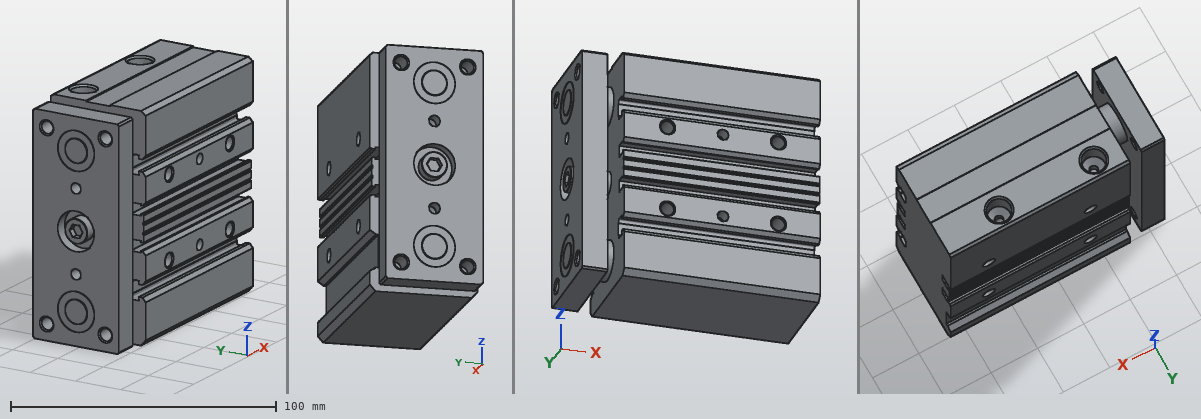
import cadquery as cq
import math


HOUSING_LENGTH = 77.5
HOUSING_WIDTH = 42.0
HOUSING_HEIGHT = 93.0
HALF_WIDTH = HOUSING_WIDTH / 2
HALF_HEIGHT = HOUSING_HEIGHT / 2
FRONT_TOP_BEVEL = (2.1, 1.6)
BACK_TOP_BEVEL = (1.1, 0.9)
BOTTOM_BEVEL = (2.15, 2.4)
TOP_CHANNEL_WIDTH = 10.7
TOP_CHANNEL_DEPTH = 0.5

SLOT_MOUTH_BEVEL = (1.4, 1.7)
T_SLOT_HEIGHT = 24.9
T_SLOT_MOUTH = 5.0
T_SLOT_LIP = 3.0
T_SLOT_INNER_WIDTH = 7.9
T_SLOT_DEPTH = 7.0
T_SLOT_FILLET = 0.4
T_SLOT_RELIEF_DEPTH = 7.3
SENSOR_SLOT_TOP = 9.0
SENSOR_SLOT_LIP = 2.15
SENSOR_SLOT_UNDERCUT = 0.7
SENSOR_SLOT_DEPTH = 6.5
FRONT_SENSOR_BEVEL = (1.4, 1.5)
BACK_SENSOR_BEVEL = (0.8, 0.4)
RIB_HALF_HEIGHT = 5.6
RIB_RECESS = 0.75
RIB_BEVEL = 0.3
RIB_GROOVE_HEIGHT = 2.0
RIB_GROOVE_MOUTH = 1.3
RIB_GROOVE_FLOOR = 0.5
RIB_GROOVE_DEPTH = 0.5
BACK_SLOT_HEIGHT = -30.8
BACK_SLOT_MOUTH = 12.8
BACK_SLOT_DEPTH = 3.3
BACK_SLOT_BEVEL = (2.3, 1.6)

SIDE_HOLE_HEIGHT = 17.0
BOLT_HOLE_XS = (17.1, 61.0)
BOLT_HOLE_DIAMETER = 5.2
BOLT_HOLE_MOUTH = 6.2
PIN_HOLE_X = (BOLT_HOLE_XS[0] + BOLT_HOLE_XS[1]) / 2
PIN_HOLE_DIAMETER = 4.3
PIN_HOLE_DEPTH = 6.0
DRILL_POINT_ANGLE = 118
PORT_XS = (11.6, 52.5)
PORT_Y = 13.6
PORT_DIAMETER = 9.5
PORT_MOUTH = 11.0
PORT_DEPTH = 9.35
PORT_CONE_DEPTH = 1.9
PILOT_DIAMETER = 3.55
PILOT_DEPTH = 3.7
GALLERY_LENGTH = 7.5
LUG_DIAMETER = 2.2
LUG_LENGTH = 0.75

PLATE_GAP = 6.0
PLATE_THICKNESS = 10.0
PLATE_WIDTH = 38.0
PLATE_HEIGHT = 91.1
PLATE_BEVEL = 0.75
PLATE_BACK_X = -PLATE_GAP
PLATE_FRONT_X = PLATE_BACK_X - PLATE_THICKNESS
CORNER_HOLE_SPACING_Y = 25.9
CORNER_HOLE_SPACING_Z = 77.8
CORNER_HOLE_DIAMETER = 5.05
CORNER_HOLE_MOUTH = 6.2
PISTON_RECESS_DEPTH = PLATE_THICKNESS / 2

GUIDE_HEIGHT = 31.9
GUIDE_DIAMETER = 16.1
ROD_DIAMETER = 9.9
ROD_END_BEVEL = 0.2
ROD_END_FACE = ROD_DIAMETER - 2 * ROD_END_BEVEL
ROD_INSERTION = 65.45
HEX_ACROSS_FLATS = 5.05
HEX_DEPTH = 2.8


def cylinder(start, direction, diameter, length):
    solid = cq.Solid.makeCylinder(diameter / 2, length, cq.Vector(*start), cq.Vector(*direction))
    return cq.Workplane(solid)


def cone(start, direction, start_diameter, end_diameter, length):
    solid = cq.Solid.makeCone(
        start_diameter / 2, end_diameter / 2, length, cq.Vector(*start), cq.Vector(*direction)
    )
    return cq.Workplane(solid)


def flared_hole(start, direction, diameter, mouth, depth):
    """Round cutter with a 45 degree flare at its mouth."""
    flare = cone(start, direction, mouth, diameter, (mouth - diameter) / 2)
    return cylinder(start, direction, diameter, depth).union(flare)


def pin_hole(start, direction):
    """Blind cutter that ends in a drill point."""
    point_depth = PIN_HOLE_DIAMETER / 2 / math.tan(math.radians(DRILL_POINT_ANGLE / 2))
    point_start = cq.Vector(*start) + cq.Vector(*direction) * PIN_HOLE_DEPTH
    point = cone(point_start.toTuple(), direction, PIN_HOLE_DIAMETER, 0, point_depth)
    return cylinder(start, direction, PIN_HOLE_DIAMETER, PIN_HOLE_DEPTH).union(point)


def along_housing(points):
    """Prism of the housing length from (y, z) points."""
    return cq.Workplane("YZ").polyline(points).close().extrude(HOUSING_LENGTH)


def side_cut(side, outline):
    """Long slot in the side at y = side * HALF_WIDTH, from (depth, z) points."""
    return along_housing([(side * (HALF_WIDTH - depth), z) for depth, z in outline])


def side_pocket(side, start_depth, end_depth, height, width):
    """Rectangular stretch of a long slot, centred on a height."""
    low = height - width / 2
    high = height + width / 2
    return side_cut(side, [(start_depth, low), (start_depth, high), (end_depth, high), (end_depth, low)])


def housing_blank():
    front, back, top, bottom = -HALF_WIDTH, HALF_WIDTH, HALF_HEIGHT, -HALF_HEIGHT
    outline = [
        (front + FRONT_TOP_BEVEL[0], top),
        (back - BACK_TOP_BEVEL[0], top),
        (back, top - BACK_TOP_BEVEL[1]),
        (back, bottom + BOTTOM_BEVEL[1]),
        (back - BOTTOM_BEVEL[0], bottom),
        (front + BOTTOM_BEVEL[0], bottom),
        (front, bottom + BOTTOM_BEVEL[1]),
        (front, top - FRONT_TOP_BEVEL[1]),
    ]
    channel = cq.Workplane("XY").box(
        HOUSING_LENGTH, TOP_CHANNEL_WIDTH, 2 * TOP_CHANNEL_DEPTH, centered=(False, True, True)
    )
    return along_housing(outline).cut(channel.translate((0, 0, top)))


def bevelled_slot(side, height, mouth, bevel, depth):
    """Plain slot whose mouth widens toward the side face."""
    outline = []
    for sign in (1, -1):
        edge = [
            (0, height + sign * (mouth / 2 + bevel[1])),
            (bevel[0], height + sign * mouth / 2),
            (depth, height + sign * mouth / 2),
        ]
        outline += edge[::sign]
    return side_cut(side, outline)


def t_slot(height):
    """T-shaped slot in the front side, with a shallow relief along its floor."""
    mouth = bevelled_slot(-1, height, T_SLOT_MOUTH, SLOT_MOUTH_BEVEL, T_SLOT_LIP)
    head = side_pocket(-1, T_SLOT_LIP, T_SLOT_DEPTH, height, T_SLOT_INNER_WIDTH)
    head = head.faces(">Y").edges("|X").fillet(T_SLOT_FILLET)
    relief = side_pocket(-1, T_SLOT_LIP, T_SLOT_RELIEF_DEPTH, height, T_SLOT_MOUTH)
    return mouth.union(head).union(relief)


def sensor_slot(side, mirror, bevel):
    """Undercut slot between the middle rib and the land next to it."""
    inner_top = SENSOR_SLOT_TOP + SENSOR_SLOT_UNDERCUT
    inner_bottom = RIB_HALF_HEIGHT - SENSOR_SLOT_UNDERCUT
    outline = [
        (0, SENSOR_SLOT_TOP + bevel[1]),
        (bevel[0], SENSOR_SLOT_TOP),
        (SENSOR_SLOT_LIP, SENSOR_SLOT_TOP),
        (SENSOR_SLOT_LIP, inner_top),
        (SENSOR_SLOT_DEPTH, inner_top),
        (SENSOR_SLOT_DEPTH, inner_bottom),
        (SENSOR_SLOT_LIP, inner_bottom),
        (SENSOR_SLOT_LIP, RIB_HALF_HEIGHT),
        (RIB_RECESS + RIB_BEVEL, RIB_HALF_HEIGHT),
        (RIB_RECESS, RIB_HALF_HEIGHT - RIB_BEVEL),
        (0, RIB_HALF_HEIGHT - RIB_BEVEL),
    ]
    return side_cut(side, [(depth, mirror * z) for depth, z in outline])


def rib_relief(side):
    """Sets the middle rib below the side face and cuts its two tapered grooves."""
    relief = side_pocket(side, 0, RIB_RECESS, 0, 2 * RIB_HALF_HEIGHT)
    for height in (RIB_GROOVE_HEIGHT, -RIB_GROOVE_HEIGHT):
        groove = [
            (RIB_RECESS, height - RIB_GROOVE_MOUTH / 2),
            (RIB_RECESS, height + RIB_GROOVE_MOUTH / 2),
            (RIB_RECESS + RIB_GROOVE_DEPTH, height + RIB_GROOVE_FLOOR / 2),
            (RIB_RECESS + RIB_GROOVE_DEPTH, height - RIB_GROOVE_FLOOR / 2),
        ]
        relief = relief.union(side_cut(side, groove))
    return relief


def air_port(x):
    """Threaded-port cutter from the top face: flared bore, cone and pilot hole."""
    down = (0, 0, -1)
    cone_z = HALF_HEIGHT - PORT_DEPTH
    pilot_z = cone_z - PORT_CONE_DEPTH
    bore = flared_hole((x, PORT_Y, HALF_HEIGHT), down, PORT_DIAMETER, PORT_MOUTH, PORT_DEPTH)
    taper = cone((x, PORT_Y, cone_z), down, PORT_DIAMETER, PILOT_DIAMETER, PORT_CONE_DEPTH)
    pilot = cylinder((x, PORT_Y, pilot_z), down, PILOT_DIAMETER, PILOT_DEPTH)
    return bore.union(taper).union(pilot)


def port_gallery(x):
    """Round passage along X that crosses the end of a port's pilot hole."""
    z = HALF_HEIGHT - PORT_DEPTH - PORT_CONE_DEPTH - PILOT_DEPTH
    return cylinder((x - GALLERY_LENGTH / 2, PORT_Y, z), (1, 0, 0), PILOT_DIAMETER, GALLERY_LENGTH)


def make_housing():
    housing = housing_blank()
    for mirror in (1, -1):
        housing = housing.cut(t_slot(mirror * T_SLOT_HEIGHT))
        housing = housing.cut(sensor_slot(-1, mirror, FRONT_SENSOR_BEVEL))
        housing = housing.cut(sensor_slot(1, mirror, BACK_SENSOR_BEVEL))
    for side in (-1, 1):
        housing = housing.cut(rib_relief(side))
    back_slot = bevelled_slot(1, BACK_SLOT_HEIGHT, BACK_SLOT_MOUTH, BACK_SLOT_BEVEL, BACK_SLOT_DEPTH)
    housing = housing.cut(back_slot)

    inward = (0, 1, 0)
    for z in (SIDE_HOLE_HEIGHT, -SIDE_HOLE_HEIGHT):
        for x in BOLT_HOLE_XS:
            start = (x, -HALF_WIDTH, z)
            bolt_hole = flared_hole(start, inward, BOLT_HOLE_DIAMETER, BOLT_HOLE_MOUTH, HOUSING_WIDTH)
            housing = housing.cut(bolt_hole)
        housing = housing.cut(pin_hole((PIN_HOLE_X, -HALF_WIDTH, z), inward))

    for x in PORT_XS:
        housing = housing.cut(air_port(x))
    housing = housing.cut(port_gallery(PORT_XS[1]))

    lug = cylinder((-LUG_LENGTH, 0, -ROD_DIAMETER / 2), (1, 0, 0), LUG_DIAMETER, LUG_LENGTH)
    housing = housing.union(lug)

    bore_length = LUG_LENGTH + ROD_INSERTION
    for z, diameter in ((GUIDE_HEIGHT, GUIDE_DIAMETER), (0, ROD_DIAMETER), (-GUIDE_HEIGHT, GUIDE_DIAMETER)):
        housing = housing.cut(cylinder((-LUG_LENGTH, 0, z), (1, 0, 0), diameter, bore_length))
    return housing


def make_plate():
    plate = cq.Workplane("XY").box(PLATE_THICKNESS, PLATE_WIDTH, PLATE_HEIGHT, centered=(False, True, True))
    plate = plate.edges("|X").chamfer(PLATE_BEVEL).translate((PLATE_FRONT_X, 0, 0))

    inward = (1, 0, 0)
    for y in (-CORNER_HOLE_SPACING_Y / 2, CORNER_HOLE_SPACING_Y / 2):
        for z in (-CORNER_HOLE_SPACING_Z / 2, CORNER_HOLE_SPACING_Z / 2):
            start = (PLATE_FRONT_X, y, z)
            plate = plate.cut(
                flared_hole(start, inward, CORNER_HOLE_DIAMETER, CORNER_HOLE_MOUTH, PLATE_THICKNESS)
            )
    for z in (SIDE_HOLE_HEIGHT, -SIDE_HOLE_HEIGHT):
        plate = plate.cut(pin_hole((PLATE_FRONT_X, 0, z), inward))

    for z in (GUIDE_HEIGHT, -GUIDE_HEIGHT):
        plate = plate.cut(cylinder((PLATE_FRONT_X, 0, z), inward, GUIDE_DIAMETER, PLATE_THICKNESS))
    plate = plate.cut(cylinder((PLATE_FRONT_X, 0, 0), inward, ROD_DIAMETER, PLATE_THICKNESS))
    return plate.cut(cylinder((PLATE_FRONT_X, 0, 0), inward, GUIDE_DIAMETER, PISTON_RECESS_DEPTH))


def make_guide_rod(z):
    """Guide rod whose rim sits just below the plate face around a flush bevelled centre."""
    rim_x = PLATE_FRONT_X + ROD_END_BEVEL
    rod = cylinder((rim_x, 0, z), (1, 0, 0), GUIDE_DIAMETER, ROD_INSERTION - rim_x)
    return rod.union(cone((PLATE_FRONT_X, 0, z), (1, 0, 0), ROD_END_FACE, ROD_DIAMETER, ROD_END_BEVEL))


def make_piston_rod():
    """Piston rod flush with the plate face, with a hexagon socket in its end."""
    rod = cylinder((PLATE_FRONT_X, 0, 0), (1, 0, 0), ROD_DIAMETER, ROD_INSERTION - PLATE_FRONT_X)
    rod = rod.faces("<X").chamfer(ROD_END_BEVEL)
    hex_across_corners = HEX_ACROSS_FLATS / math.cos(math.pi / 6)
    socket = cq.Workplane("YZ").polygon(6, hex_across_corners).extrude(HEX_DEPTH)
    return rod.cut(socket.translate((PLATE_FRONT_X, 0, 0)))


housing = make_housing()
plate = make_plate()
piston_rod = make_piston_rod()
guide_rods = [make_guide_rod(z) for z in (GUIDE_HEIGHT, -GUIDE_HEIGHT)]

result = cq.Compound.makeCompound(
    [housing.val(), plate.val(), piston_rod.val(), *[rod.val() for rod in guide_rods]]
)